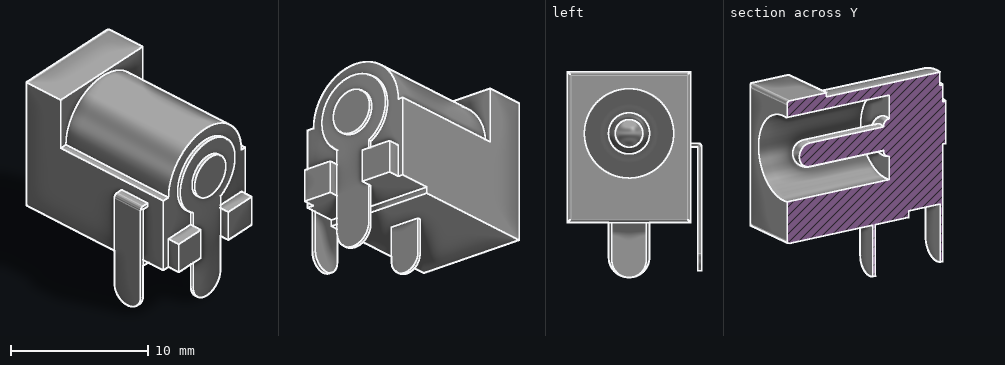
import cadquery as cq

body_length = 13.5
body_width = 9.0
body_bottom = 4.0
total_height = 15.0
head_length = 3.51
head_edge_radius = 0.25
rear_floor_rise = 0.5
rear_floor_start = 10.75

barrel_radius = 4.0
barrel_y = 0.08
barrel_z = 10.71

socket_radius = 3.25
socket_depth = 9.0
socket_z = 10.5
contact_radius = 1.0
contact_tip_x = 1.0
contact_base_radius = 1.5
collar_edge_radius = 0.48

plate_thickness = 0.25
disc_radius = 3.0
rivet_radius = 1.71
bump_length = 1.0
bump_bottom = body_bottom + rear_floor_rise
bump_height = 2.5
bump_gap = 3.0

front_pin_x = 7.58
front_pin_width = 2.5
rear_pin_width = 3.0

tab_start_x = 9.45
tab_width = 2.54
tab_thickness = 0.3
tab_reach = 0.8
tab_top = 9.8
tab_bottom = 0.5
tab_bend_radius = 0.28


def block(x_start, x_end, y_start, y_end, z_start, z_end):
    """Box given by its limits along each axis."""
    size = (x_end - x_start, y_end - y_start, z_end - z_start)
    return cq.Workplane("XY").box(*size, centered=False).translate((x_start, y_start, z_start))


def rod(x_start, length, radius, y, z):
    """Cylinder running along +X."""
    return cq.Workplane("YZ", origin=(x_start, y, z)).circle(radius).extrude(length)


def solder_pin(x_start, width, top):
    """Flat pin standing on Z = 0 with a fully rounded lower end."""
    radius = width / 2
    return (
        cq.Workplane("YZ", origin=(x_start, 0, 0))
        .moveTo(-radius, top)
        .lineTo(-radius, radius)
        .threePointArc((0, 0), (radius, radius))
        .lineTo(radius, top)
        .close()
        .extrude(plate_thickness)
    )


def make_housing():
    half_width = body_width / 2
    head = block(0, head_length, -half_width, half_width, body_bottom, total_height)
    head = head.faces("<X").edges().fillet(head_edge_radius)
    base = block(head_length, body_length, -half_width, half_width, body_bottom, barrel_z)
    barrel = rod(head_length, body_length - head_length, barrel_radius, barrel_y, barrel_z)
    rear_relief = block(
        rear_floor_start, body_length, -half_width, half_width, body_bottom, bump_bottom
    )
    socket = rod(0, socket_depth, socket_radius, 0, socket_z)
    return head.union(base).union(barrel).cut(rear_relief).cut(socket)


def make_centre_contact():
    """Round-nosed pin rising from a round-edged collar on the socket floor."""
    collar_height = contact_base_radius - contact_radius
    nose_centre_x = contact_tip_x + contact_radius
    nose = cq.Workplane("XY").sphere(contact_radius).translate((nose_centre_x, 0, socket_z))
    shank = rod(nose_centre_x, socket_depth - nose_centre_x, contact_radius, 0, socket_z)
    collar = rod(
        socket_depth - collar_height,
        2 * collar_height,
        contact_base_radius,
        0,
        socket_z,
    )
    collar = collar.faces("<X").edges().fillet(collar_edge_radius)
    return nose.union(shank).union(collar)


def make_rear_contact():
    disc = rod(body_length, plate_thickness, disc_radius, barrel_y, barrel_z)
    rivet = rod(body_length, 2 * plate_thickness, rivet_radius, barrel_y, barrel_z)
    return disc.union(rivet).union(solder_pin(body_length, rear_pin_width, barrel_z))


def make_bumps():
    """Two blocks on the rear face, flush with the sides of the barrel."""
    rear = body_length + bump_length
    top = bump_bottom + bump_height
    left = block(
        body_length, rear, bump_gap / 2, barrel_y + barrel_radius, bump_bottom, top
    )
    right = block(
        body_length, rear, barrel_y - barrel_radius, -bump_gap / 2, bump_bottom, top
    )
    return left.union(right)


def make_side_tab():
    """Strip that leaves the -Y wall and bends down to a rounded end."""
    wall_y = -body_width / 2
    outer_y = wall_y - tab_reach
    end_x = tab_start_x + tab_width
    inner_y = outer_y + tab_thickness
    arm = block(tab_start_x, end_x, outer_y, wall_y, tab_top - tab_thickness, tab_top)
    leg = block(tab_start_x, end_x, outer_y, inner_y, tab_bottom, tab_top)
    tab = arm.union(leg)
    tab = tab.edges("|X and >Z and <Y").fillet(tab_bend_radius)
    radius = tab_width / 2
    outline = (
        cq.Workplane("XZ", origin=(0, wall_y, 0))
        .moveTo(tab_start_x, tab_top)
        .lineTo(tab_start_x, tab_bottom + radius)
        .threePointArc((tab_start_x + radius, tab_bottom), (end_x, tab_bottom + radius))
        .lineTo(end_x, tab_top)
        .close()
        .extrude(tab_reach)
    )
    return tab.intersect(outline)


result = (
    make_housing()
    .union(make_centre_contact())
    .union(make_rear_contact())
    .union(make_bumps())
    .union(solder_pin(front_pin_x, front_pin_width, body_bottom))
    .union(make_side_tab())
)